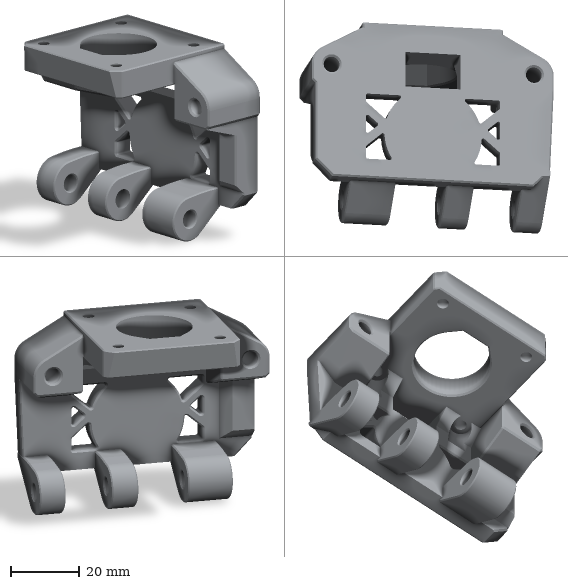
import cadquery as cq
import math


wall_height = 47.35
wall_depth = 5.8
wall_side = 34.9
corner_cut = 5.05
edge_chamfer = 0.5
left_edge_chamfer = 0.35
small_chamfer = 0.35

plate_half_width = 20.95
plate_depth = 44.1
plate_thick = 8.5
plate_bottom = wall_height - plate_thick
plate_corner = 2.7
plate_front_lean = 1.45
motor_axis_depth = 23.3
motor_hole_radius = 11.2
motor_screw_spacing = 31.0
motor_screw_offset = motor_screw_spacing / 2
motor_screw_diameter = 3.45
wedge_size = 4.6

window_half_width = 8.1
window_bottom = 28.35
channel_radius = 3.25
channel_bend_height = 36.0
channel_bottom = 30.2
channel_tilt = 12.0

ear_reach = 36.0
ear_depth = 21.0
ear_hole_x = 30.1
ear_hole_height = 34.05
ear_hole_diameter = 4.7
ear_slope = 29.0
ear_radius = ear_reach - ear_hole_x
ear_foot_front = 28.2
ear_foot_back = 23.0
left_edge_top = 29.7
left_edge_corner = 29.2

pad_left = 24.9
pad_bottom = 5.8
pad_front = 9.15
pad_slope = 3.0

hinge_spans = [(-wall_side, -27.05), (-12.95, -4.9), (10.3, 23.9)]
hinge_axis_depth = 17.05
hinge_axis_height = -2.15
hinge_radius = 6.8
hinge_hole_diameter = 5.1
pin_lip = 2.5
hole_mouth_diameter = 5.8
hinge_top = 5.25
hinge_flat_end = 9.4
hinge_bend_depth = 12.45
hinge_bend_height = 5.1
hinge_back_height = 3.3

opening_side = 19.9
opening_top = 25.55
opening_bottom = 5.7
cross_height = 16.3
cross_slope = 0.86
outer_apex = 12.1
middle_apex = 16.05
medallion_height = 13.9
medallion_radius = 14.45
opening_fillet = 0.5

tolerance = 0.01
margin = 0.7


def front_prism(points, depth):
    """Prism of an (X, Z) outline, from the back plane forward."""
    return cq.Workplane("XZ").polyline(points).close().extrude(depth)


def side_prism(points, x_start, x_end):
    """Prism of a (depth, Z) outline between two X positions."""
    outline = [(-depth, z) for depth, z in points]
    plane = cq.Workplane("YZ", origin=(x_start, 0, 0))
    return plane.polyline(outline).close().extrude(x_end - x_start)


def wall_opening_cutters():
    """Three openings on each side, leaving an X of struts and a round centre."""
    disc = (
        cq.Workplane("XZ").center(0, medallion_height)
        .circle(medallion_radius).extrude(wall_depth)
    )
    strut_rise = (opening_side - outer_apex) * cross_slope
    middle_rise = (opening_side - middle_apex) * cross_slope
    cutters = []
    for end_height, rise in ((opening_top, strut_rise), (opening_bottom, -strut_rise)):
        outline = [
            (-opening_side, end_height),
            (-opening_side, cross_height + rise),
            (-outer_apex, cross_height),
            (0, cross_height),
            (0, end_height),
        ]
        cutters.append(front_prism(outline, wall_depth).cut(disc))
    cutters.append(front_prism([
        (-opening_side, cross_height + middle_rise),
        (-opening_side, cross_height - middle_rise),
        (-middle_apex, cross_height),
    ], wall_depth))
    cutters = [cutter.edges("|Y").fillet(opening_fillet) for cutter in cutters]
    return cutters + [cutter.mirror("YZ") for cutter in cutters]


def make_wall():
    wall = front_prism([
        (-wall_side + corner_cut, 0),
        (wall_side - corner_cut, 0),
        (wall_side, corner_cut),
        (wall_side, left_edge_top),
        (-ear_reach, left_edge_top),
        (-wall_side, corner_cut),
    ], wall_depth)
    for cutter in wall_opening_cutters():
        wall = wall.cut(cutter)
    opening_zone = cq.selectors.BoxSelector(
        (-opening_side - margin, -wall_depth - margin, opening_bottom - margin),
        (opening_side + margin, -wall_depth + margin, opening_top + margin),
    )
    right_edge_zone = cq.selectors.BoxSelector(
        (wall_side - corner_cut, -wall_depth - margin, margin),
        (wall_side + margin, -wall_depth + margin, left_edge_top - margin),
    )
    wall = wall.faces("<Y").edges(opening_zone + right_edge_zone).chamfer(edge_chamfer)
    return wall.faces("<Y").edges("<X").chamfer(left_edge_chamfer)


def make_pad():
    side = side_prism([
        (wall_depth / 2, pad_bottom),
        (wall_depth, pad_bottom),
        (pad_front, pad_bottom + pad_slope),
        (pad_front, ear_foot_front),
        (wall_depth / 2, ear_foot_front),
    ], pad_left, wall_side)
    plan = (
        cq.Workplane("XY")
        .polyline([
            (pad_left, -wall_depth / 2),
            (pad_left, -wall_depth),
            (pad_left + pad_slope, -pad_front),
            (wall_side - edge_chamfer, -pad_front),
            (wall_side, -pad_front + edge_chamfer),
            (wall_side, -wall_depth / 2),
        ]).close().extrude(ear_foot_front)
    )
    return side.intersect(plan)


def make_ear(side, foot):
    """Ear on side -1 (left) or +1 (right); foot is its outline below the outer edge."""
    slope = math.radians(ear_slope)
    middle = math.radians(ear_slope / 2)

    def rim(angle):
        return (
            side * (ear_hole_x + ear_radius * math.sin(angle)),
            ear_hole_height + ear_radius * math.cos(angle),
        )

    rim_start = rim(slope)
    inner_top = rim_start[1] + (abs(rim_start[0]) - plate_half_width) * math.tan(slope)
    ear = (
        cq.Workplane("XZ")
        .moveTo(side * plate_half_width, inner_top)
        .lineTo(*rim_start)
        .threePointArc(rim(math.radians(45) + middle), rim(math.radians(90)))
    )
    for x, z in foot:
        ear = ear.lineTo(side * x, z)
    ear = ear.lineTo(side * plate_half_width, ear_foot_back).close().extrude(ear_depth)
    underside = side_prism([
        (wall_depth, ear_foot_back),
        (ear_depth, ear_foot_front),
        (ear_depth + margin, ear_foot_front),
        (ear_depth + margin, ear_foot_back - margin),
        (wall_depth, ear_foot_back - margin),
    ], -ear_reach - margin, ear_reach + margin)
    inner_edge = ">X" if side < 0 else "<X"
    return ear.cut(underside).faces("<Y").edges(f"not {inner_edge}").chamfer(edge_chamfer)


def make_ears():
    edge_lean = (ear_reach - wall_side) / (left_edge_top - corner_cut)
    left_corner_x = ear_reach - (left_edge_top - left_edge_corner) * edge_lean
    undercut_run = left_edge_corner - ear_foot_back
    left_foot = [
        (ear_reach, left_edge_top),
        (left_corner_x, left_edge_corner),
        (left_corner_x - undercut_run, ear_foot_back),
    ]
    right_foot = [
        (ear_reach, ear_foot_front + ear_reach - wall_side),
        (wall_side, ear_foot_front),
        (wall_side, ear_foot_back),
    ]
    return make_ear(-1, left_foot).union(make_ear(1, right_foot))


def motor_opening():
    """Round motor hole with a flat front and 45 degree flanks, all tangent to the round."""
    flat_half = motor_hole_radius * math.tan(math.radians(22.5))
    flank = motor_hole_radius * math.sin(math.radians(45))
    return (
        cq.Workplane("XY", origin=(0, -motor_axis_depth, plate_bottom))
        .moveTo(-flank, -flank)
        .lineTo(-flat_half, -motor_hole_radius)
        .lineTo(flat_half, -motor_hole_radius)
        .lineTo(flank, -flank)
        .threePointArc((0, motor_hole_radius), (-flank, -flank))
        .close().extrude(plate_thick)
    )


def make_plate():
    plate = (
        cq.Workplane("XY", origin=(0, 0, plate_bottom))
        .polyline([
            (-plate_half_width, 0),
            (-plate_half_width, -plate_depth + plate_corner),
            (-plate_half_width + plate_corner, -plate_depth),
            (plate_half_width - plate_corner, -plate_depth),
            (plate_half_width, -plate_depth + plate_corner),
            (plate_half_width, 0),
        ]).close().extrude(plate_thick)
    )
    lean = side_prism([
        (plate_depth, wall_height),
        (plate_depth - plate_front_lean, plate_bottom),
        (plate_depth, plate_bottom),
    ], -plate_half_width, plate_half_width)
    corner_start = -plate_depth + plate_corner
    blunted = cq.selectors.BoxSelector(
        (-plate_half_width - margin, corner_start - margin, plate_bottom),
        (plate_half_width + margin, corner_start + margin, wall_height),
    )
    plate = plate.cut(lean).edges("|Z").edges(blunted).chamfer(small_chamfer)
    plate = plate.faces("<Z or >Z").edges("not >Y").chamfer(small_chamfer)
    reach = motor_hole_radius + margin
    opening_zone = cq.selectors.BoxSelector(
        (-reach, -motor_axis_depth - reach, plate_bottom - margin),
        (reach, -motor_axis_depth + reach, plate_bottom + margin),
    )
    plate = plate.cut(motor_opening())
    return plate.faces("<Z").edges(opening_zone).chamfer(edge_chamfer)


def make_plate_support():
    """Upper wall and the 45 degree brace below the motor plate."""
    return side_prism([
        (0, window_bottom),
        (wall_depth, window_bottom),
        (wall_depth, plate_bottom - wedge_size),
        (wall_depth + wedge_size, plate_bottom),
        (wall_depth + wedge_size, plate_bottom + margin),
        (0, plate_bottom + margin),
    ], -plate_half_width, plate_half_width)


def tangent_point(depth, height, side):
    """Where a line from a (depth, Z) point touches the hinge round; side picks which of the two."""
    run = depth - hinge_axis_depth
    rise = height - hinge_axis_height
    angle = math.atan2(rise, run) + side * math.acos(hinge_radius / math.hypot(run, rise))
    return (
        hinge_axis_depth + hinge_radius * math.cos(angle),
        hinge_axis_height + hinge_radius * math.sin(angle),
    )


def make_hinge(x_start, x_end):
    upper = tangent_point(hinge_bend_depth, hinge_bend_height, -1)
    lower = tangent_point(0, hinge_back_height, 1)
    tip = (hinge_axis_depth + hinge_radius, hinge_axis_height)
    knuckle = (
        cq.Workplane("YZ", origin=(x_start, 0, 0))
        .moveTo(0, hinge_back_height)
        .lineTo(0, hinge_top)
        .lineTo(-hinge_flat_end, hinge_top)
        .lineTo(-hinge_bend_depth, hinge_bend_height)
        .lineTo(-upper[0], upper[1])
        .threePointArc((-tip[0], tip[1]), (-lower[0], lower[1]))
        .close().extrude(x_end - x_start)
    )
    return knuckle.faces("<X or >X").edges("not >Y").chamfer(small_chamfer)


def countersunk_hole(start, direction, diameter, length):
    """Hole cutter from start along direction, widened to the mouth diameter at both ends."""
    flare = (hole_mouth_diameter - diameter) / 2
    radius = diameter / 2
    up = cq.Vector(0, 0, 1)
    section = cq.Plane(start, up, up.cross(cq.Vector(direction)))
    return (
        cq.Workplane(section)
        .polyline([
            (0, 0), (radius + flare, 0), (radius, flare),
            (radius, length - flare), (radius + flare, length), (0, length),
        ]).close().revolve(360, (0, 0, 0), (0, 1, 0))
    )


def cut_motor_screw_holes(body):
    screws = (
        cq.Workplane("XY", origin=(0, -motor_axis_depth, plate_bottom - wedge_size))
        .rect(motor_screw_spacing, motor_screw_spacing, forConstruction=True)
        .vertices().circle(motor_screw_diameter / 2).extrude(plate_thick + wedge_size)
    )
    return body.cut(screws)


def cut_screw_channels(body):
    """Room for the rear motor screws: upright below the plate, then tilted back into the wall."""
    channel_depth = motor_axis_depth - motor_screw_offset
    for x in (-motor_screw_offset, motor_screw_offset):
        bend = (x, -channel_depth, channel_bend_height)
        upright = (
            cq.Workplane("XY", origin=bend)
            .circle(channel_radius).extrude(plate_bottom - channel_bend_height)
        )
        tilted = (
            cq.Workplane("XY", origin=bend)
            .circle(channel_radius).extrude(channel_bottom - channel_bend_height)
            .rotate(bend, (x + margin, bend[1], bend[2]), channel_tilt)
        )
        body = body.cut(upright).cut(tilted)
    return body


def cut_window(body):
    window = front_prism([
        (-window_half_width, window_bottom),
        (window_half_width, window_bottom),
        (window_half_width, plate_bottom),
        (-window_half_width, plate_bottom),
    ], wall_depth + wedge_size)
    return body.cut(window)


def chamfer_back_rim(body):
    rim = body.faces(">Y").val().outerWire().Edges()
    return body.newObject(rim).chamfer(edge_chamfer)


def chamfer_ear_inner_edges(body):
    """Inner front edges of both ears, below the motor plate."""
    for x in (-plate_half_width, plate_half_width):
        inner_zone = cq.selectors.BoxSelector(
            (x - tolerance, -ear_depth - margin, ear_foot_back),
            (x + tolerance, -wall_depth - wedge_size, plate_bottom - margin),
        )
        body = body.edges(inner_zone).chamfer(edge_chamfer)
    return body


def cut_ear_holes(body):
    for x in (-ear_hole_x, ear_hole_x):
        start = (x, 0, ear_hole_height)
        body = body.cut(countersunk_hole(start, (0, -1, 0), ear_hole_diameter, ear_depth))
    return body


def cut_hinge_pin_holes(body):
    for x_start, x_end in hinge_spans:
        start = (x_start, -hinge_axis_depth, hinge_axis_height)
        body = body.cut(countersunk_hole(start, (1, 0, 0), hinge_hole_diameter, x_end - x_start))
    middle_start, middle_end = hinge_spans[1]
    bore_start = middle_start + pin_lip
    wide_bore = (
        cq.Workplane("YZ", origin=(bore_start, -hinge_axis_depth, hinge_axis_height))
        .circle(hole_mouth_diameter / 2).extrude(middle_end - bore_start)
    )
    return body.cut(wide_bore)


body = make_wall().union(make_plate_support()).union(make_plate())
body = body.union(make_ears()).union(make_pad()).clean()
body = chamfer_back_rim(body)
body = chamfer_ear_inner_edges(body)

for x_start, x_end in hinge_spans:
    body = body.union(make_hinge(x_start, x_end))

body = cut_motor_screw_holes(body)
body = cut_screw_channels(body)
body = cut_window(body)
body = cut_ear_holes(body)
result = cut_hinge_pin_holes(body)